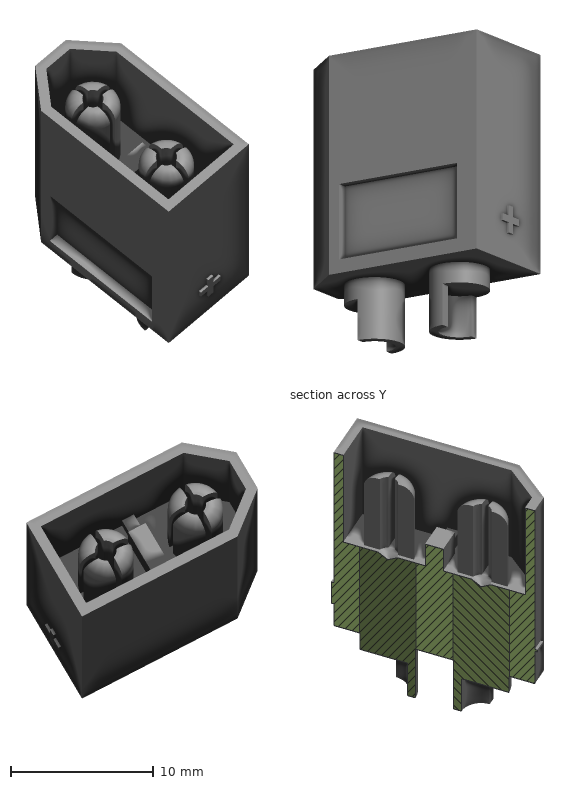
import cadquery as cq

shell_length = 15.5
shell_width = 8.1
shell_height = 16.0
wall = 0.75
corner_cut_x = 3.0
corner_cut_y = 2.5
floor_level = 8.0

label_length = 10.0
label_height = 5.5
label_left = -3.9
label_bottom = 1.0
label_depth = wall

block_length = 1.4
block_width = 4.0
block_height = 2.0
rib_length = 0.95
rib_height = 1.0

mark_span = 2.0
mark_relief = 0.2
minus_stroke = 0.2
minus_level = 3.1
plus_stroke = 0.5
plus_level = 3.0

contact_spacing = 7.2
base_diameter = 4.3
plug_diameter = 3.9
plug_top = 14.5
plug_rounding = 1.0
plug_bore_diameter = 1.5
bore_cone_depth = 0.45
slot_width = 0.5
cup_diameter = 3.0
cup_top = -1.5
contact_bottom = -4.5


def shell_outline():
    """Rectangle with both corners of the -X end cut off."""
    half_length = shell_length / 2
    half_width = shell_width / 2
    shoulder_x = -half_length + corner_cut_x
    nose_y = half_width - corner_cut_y
    return cq.Workplane("XY").polyline([
        (half_length, -half_width),
        (half_length, half_width),
        (shoulder_x, half_width),
        (-half_length, nose_y),
        (-half_length, -nose_y),
        (shoulder_x, -half_width),
    ]).close()


def box_between(low, high):
    """Axis-aligned box given by its two opposite corners."""
    size = [b - a for a, b in zip(low, high)]
    return cq.Workplane("XY").box(*size, centered=False).translate(tuple(low))


def mark_bar(start_x, level, width, height):
    """One stroke of a polarity mark, standing out of an end wall."""
    return box_between(
        (start_x, -width / 2, level - height / 2),
        (start_x + mark_relief, width / 2, level + height / 2),
    )


def make_housing():
    body = shell_outline().extrude(shell_height)
    cavity = shell_outline().offset2D(-wall, "intersection").extrude(shell_height - floor_level)
    body = body.cut(cavity.translate((0, 0, floor_level)))

    front_y = -shell_width / 2
    label = box_between(
        (label_left, front_y, label_bottom),
        (label_left + label_length, front_y + label_depth, label_bottom + label_height),
    )
    body = body.cut(label)

    block = box_between(
        (-block_length / 2, -block_width / 2, floor_level),
        (block_length / 2, block_width / 2, floor_level + block_height),
    )
    rib = box_between(
        (-rib_length / 2, front_y + wall, floor_level),
        (rib_length / 2, -block_width / 2, floor_level + rib_height),
    )
    body = body.union(block).union(rib)

    end_x = shell_length / 2
    minus = mark_bar(-end_x - mark_relief, minus_level, mark_span, minus_stroke)
    plus_across = mark_bar(end_x, plus_level, mark_span, plus_stroke)
    plus_upright = mark_bar(end_x, plus_level, plus_stroke, mark_span)
    body = body.union(minus).union(plus_across).union(plus_upright)

    holes = (
        cq.Workplane("XY")
        .pushPoints([(side * contact_spacing / 2, 0) for side in (-1, 1)])
        .circle(base_diameter / 2)
        .extrude(floor_level)
    )
    return body.cut(holes)


def make_contact(side):
    """Split plug above, half-open solder cup below; side is -1 or 1 along X."""
    base_radius = base_diameter / 2
    plug_height = plug_top - floor_level
    base = cq.Workplane("XY").workplane(offset=contact_bottom).circle(base_radius)
    base = base.extrude(floor_level - contact_bottom)
    plug = cq.Workplane("XY").workplane(offset=floor_level).circle(plug_diameter / 2)
    plug = plug.extrude(plug_height).faces(">Z").edges().fillet(plug_rounding)

    for length, width in ((plug_diameter, slot_width), (slot_width, plug_diameter)):
        slot = cq.Workplane("XY").workplane(offset=floor_level).rect(length, width)
        plug = plug.cut(slot.extrude(plug_height))
    contact = base.union(plug)

    bore_radius = plug_bore_diameter / 2
    bore = (
        cq.Workplane("XZ")
        .polyline([
            (0, floor_level - bore_cone_depth),
            (bore_radius, floor_level),
            (bore_radius, plug_top),
            (0, plug_top),
        ])
        .close()
        .revolve(360, (0, 0, 0), (0, 1, 0))
    )
    contact = contact.cut(bore)

    cup_depth = cup_top - contact_bottom
    cup = cq.Workplane("XY").workplane(offset=contact_bottom).circle(cup_diameter / 2)
    opening = (
        cq.Workplane("XY")
        .workplane(offset=contact_bottom)
        .center(side * base_radius / 2, 0)
        .rect(base_radius, base_diameter)
    )
    contact = contact.cut(cup.extrude(cup_depth)).cut(opening.extrude(cup_depth))
    return contact.translate((side * contact_spacing / 2, 0, 0))


housing = make_housing()
contacts = [make_contact(side) for side in (-1, 1)]

result = cq.Compound.makeCompound([housing.val(), *[contact.val() for contact in contacts]])